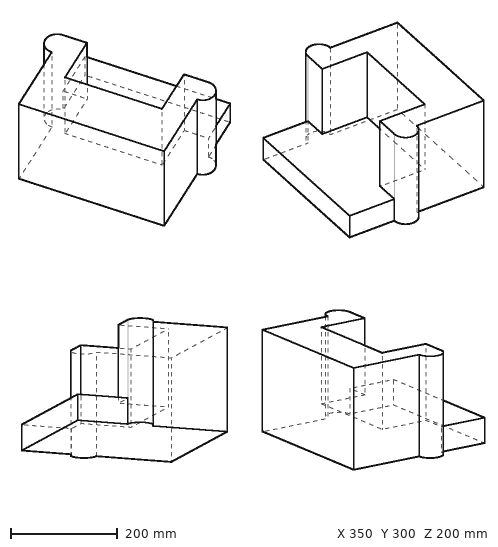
import cadquery as cq

seat_width = 300
seat_depth = 300
seat_thickness = 50
total_height = 200
wall_thickness = 50
back_thickness = 100
recess_depth = 100
round_radius = 25

rear_y = -seat_depth / 2
recess_start_y = rear_y + back_thickness
wall_end_y = recess_start_y + recess_depth
recess_width = seat_width - 2 * wall_thickness
column_y = wall_end_y - round_radius


def block(width, start_y, end_y, bottom_z, top_z):
    """Box centred on X, spanning the given Y and Z ranges."""
    return (
        cq.Workplane("XY", origin=(0, start_y, bottom_z))
        .box(width, end_y - start_y, top_z - bottom_z, centered=(True, False, False))
    )


def side_columns():
    """Full-height round columns centred on both side faces, flush with the wall ends."""
    centers = [(side * seat_width / 2, column_y) for side in (-1, 1)]
    return cq.Workplane("XY").pushPoints(centers).circle(round_radius).extrude(total_height)


base_plate = block(seat_width, rear_y, rear_y + seat_depth, 0, seat_thickness)
upright = block(seat_width, rear_y, wall_end_y, 0, total_height)
recess = block(recess_width, recess_start_y, wall_end_y, seat_thickness, total_height)

result = upright.union(side_columns()).cut(recess).union(base_plate).clean()